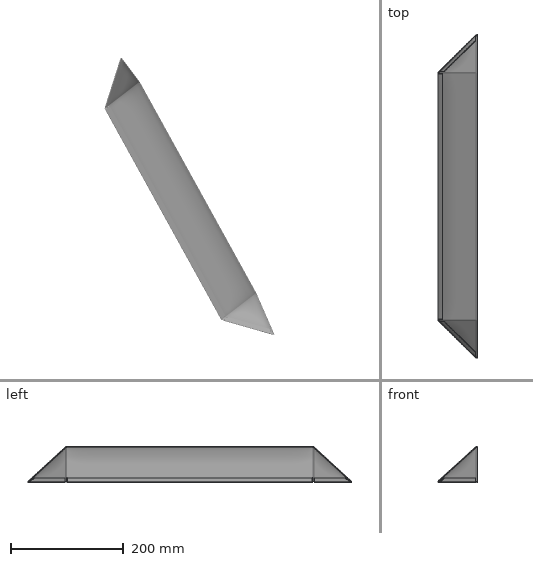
import math

import cadquery as cq


depth = 70.59
height = 62.99
length = 572.74

thickness = 1.0
bend_radius = 2.0
inner_bend_radius = bend_radius - thickness
hem_radius = thickness

ridge_half_length = 219.0
tip_half_length = 290.255
hem_top = 7.8
hem_corner_gap = 2.0
hem_wall_gap = 4.0
flange_width = 7.5
slit_width = 0.5
hem_half_length = ridge_half_length - hem_corner_gap

centre_dx = depth - bend_radius - hem_radius
centre_dz = height - bend_radius - hem_radius
slope_angle = math.atan2(centre_dz, centre_dx) + math.asin(
    (bend_radius - hem_radius) / math.hypot(centre_dx, centre_dz)
)

sharp_front_x = hem_radius - hem_radius / math.tan(slope_angle / 2)
sharp_top_z = (depth - sharp_front_x) * math.tan(slope_angle)

slope_normal = cq.Vector(-math.sin(slope_angle), 0, math.cos(slope_angle))


def end_panel_normal(side):
    """Outward normal of the end panel on the +Y (side = 1) or -Y (side = -1) end."""
    up_slope = cq.Vector(math.cos(slope_angle), 0, math.sin(slope_angle))
    floor_edge = cq.Vector(depth - sharp_front_x, side * (tip_half_length - ridge_half_length), 0)
    normal = floor_edge.cross(up_slope).normalized()
    return normal if normal.z > 0 else normal * -1


def sharp_corner(side):
    """Point on the floor where the outer faces of the slope and an end panel meet."""
    return cq.Vector(sharp_front_x, side * ridge_half_length, 0)


def half_space_cut(body, normal, point):
    """Remove everything on the outer side of the plane through the point."""
    reach = 3 * length
    plane = cq.Plane(origin=point.toTuple(), normal=normal.toTuple())
    return body.cut(cq.Workplane(plane).rect(reach, reach).extrude(reach))


def hipped_body(inset, radius, floor_z):
    """Wedge with hipped ends, its faces moved inward by the inset and its bends rounded."""
    body = (
        cq.Workplane("XY", origin=(depth - inset, 0, floor_z))
        .box(2 * depth, 2 * length, 2 * height, centered=(False, True, False))
        .translate((-2 * depth, 0, 0))
    )
    body = half_space_cut(body, slope_normal, cq.Vector(sharp_front_x, 0, 0) - slope_normal * inset)
    for side in (1, -1):
        normal = end_panel_normal(side)
        body = half_space_cut(body, normal, sharp_corner(side) - normal * inset)
    floor_edges = body.faces("<Z").edges().vals()
    bends = [e for e in body.edges().vals() if not any(e.isSame(f) for f in floor_edges)]
    return body.newObject(bends).fillet(radius)


def wall_opening():
    """Opening in the wall side, leaving a flange along the sloping and top edges."""
    end_angle = math.atan2(sharp_top_z, tip_half_length - ridge_half_length)
    opening_top = height - flange_width
    bottom_half = tip_half_length - flange_width / math.sin(end_angle)
    top_half = bottom_half - opening_top / math.tan(end_angle)
    return (
        cq.Workplane("YZ", origin=(depth - bend_radius, 0, 0))
        .polyline([(-bottom_half, 0), (bottom_half, 0), (top_half, opening_top), (-top_half, opening_top)])
        .close()
        .extrude(2 * bend_radius)
    )


def floor_edge_plane(normal, sharp_point):
    """Plane across a floor edge, centred on the hem round: local x up the panel, local y inward."""
    level = cq.Vector(normal.x, normal.y, 0).normalized()
    tilt = math.acos(normal.z)
    centre = sharp_point - level * (hem_radius / math.tan(tilt / 2)) + cq.Vector(0, 0, hem_radius)
    up_panel = level * -math.cos(tilt) + cq.Vector(0, 0, math.sin(tilt))
    along_edge = level.cross(cq.Vector(0, 0, 1))
    return cq.Plane(centre.toTuple(), up_panel.toTuple(), along_edge.toTuple())


def cut_below_hem(cover, plane):
    """Trim a panel along the line through the centre of its hem round."""
    trim_length = 2 * length
    trim_reach = 4 * thickness
    trim = (
        cq.Workplane(plane)
        .center(-trim_reach / 2, thickness - trim_reach / 2)
        .rect(trim_reach, trim_reach)
        .extrude(trim_length / 2, both=True)
    )
    return cover.cut(trim)


def hem(plane, tilt, hem_length):
    """Closed hem centred on the plane along a floor edge of a panel tilted from the floor."""
    leg = (hem_top - hem_radius) / math.sin(tilt)
    return (
        cq.Workplane(plane)
        .moveTo(0, hem_radius)
        .lineTo(leg, hem_radius)
        .lineTo(leg, -hem_radius)
        .lineTo(0, -hem_radius)
        .threePointArc((-hem_radius, 0), (0, hem_radius))
        .close()
        .extrude(hem_length / 2, both=True)
    )


def relief_slit(side):
    """Slit through the sloping panel at one end of its hem."""
    slit_y = side * (hem_half_length + slit_width / 2)
    return cq.Workplane("XY", origin=(0, slit_y, 0)).box(
        depth / 2, slit_width, hem_top, centered=(True, True, False)
    )


def end_hem(side):
    """Hem along the floor edge of one end panel, clear of the slope corner and of the wall."""
    hem_room = cq.Workplane("XY", origin=(0, ridge_half_length + hem_corner_gap, 0)).box(
        depth - hem_wall_gap, length, height, centered=(False, False, False)
    )
    if side < 0:
        hem_room = hem_room.mirror("XZ")
    tilt = math.acos(end_panel_normal(side).z)
    return hem(end_edge_planes[side], tilt, 2 * length).intersect(hem_room)


slope_edge_plane = floor_edge_plane(slope_normal, cq.Vector(sharp_front_x, 0, 0))
end_edge_planes = {
    side: floor_edge_plane(end_panel_normal(side), sharp_corner(side)) for side in (1, -1)
}

cover = hipped_body(0, bend_radius, 0).cut(hipped_body(thickness, inner_bend_radius, -thickness))
cover = cover.cut(wall_opening())
for edge_plane in (slope_edge_plane, *end_edge_planes.values()):
    cover = cut_below_hem(cover, edge_plane)
cover = cover.union(hem(slope_edge_plane, slope_angle, 2 * hem_half_length))
for side in (1, -1):
    cover = cover.cut(relief_slit(side)).union(end_hem(side))

result = cover